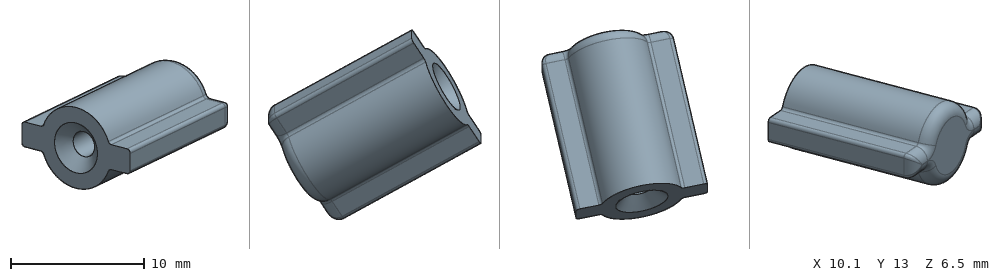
import cadquery as cq

length = 13.0
wing_span = 10.11
body_diameter = 6.5
wing_thickness = 2.0

wing_corner_radius = 0.3
root_radius = 0.3
end_radius = 0.99

countersink_diameter = 4.0
hole_diameter = 2.0
countersink_depth = 1.0
hole_depth = 10.01


def winged_body():
    """Round body with a flat wing on each side, all edges rounded except at the open end."""
    cylinder = cq.Workplane("XZ").circle(body_diameter / 2).extrude(-length)
    wings = cq.Workplane("XZ").rect(wing_span, wing_thickness).extrude(-length)
    body = cylinder.union(wings)
    body_radius = body_diameter / 2
    root_zone = cq.selectors.BoxSelector(
        (-body_radius, 0, -wing_thickness), (body_radius, length, wing_thickness)
    )
    body = body.edges("|Y").edges(root_zone).fillet(root_radius)
    body = body.faces(">Y").edges().fillet(end_radius)
    return body.edges("|Y and (>X or <X)").fillet(wing_corner_radius)


def countersunk_hole():
    """Cutter with a conical mouth leading into a flat-bottomed hole."""
    mouth_radius = countersink_diameter / 2
    hole_radius = hole_diameter / 2
    profile = (
        cq.Workplane("XY")
        .moveTo(0, 0)
        .lineTo(mouth_radius, 0)
        .lineTo(hole_radius, countersink_depth)
        .lineTo(hole_radius, hole_depth)
        .lineTo(0, hole_depth)
        .close()
    )
    return profile.revolve(360, (0, 0, 0), (0, 1, 0))


result = winged_body().cut(countersunk_hole())